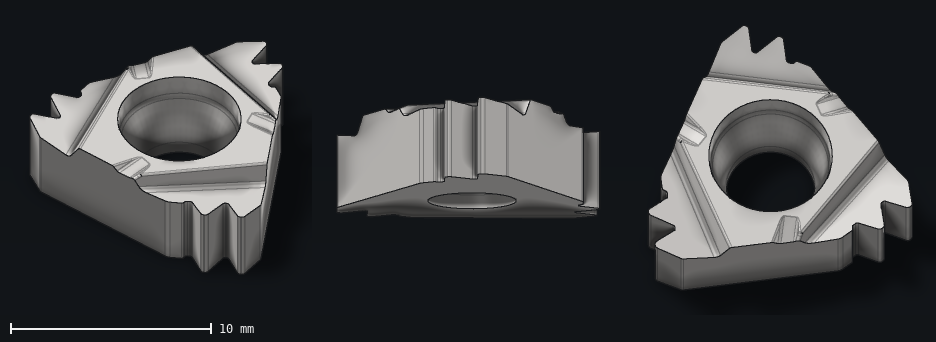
import cadquery as cq
import math


CORNERS = 3
CORNER_STEP = 360 / CORNERS
HEIGHT = 4.3
INSCRIBED_RADIUS = 4.75
OVERSIZE = 15.72

FLANK_SLOPE = math.tan(math.radians(60))
TIP_A_X = -3.9
TIP_A_Y = 6.58
TIP_B_X = -2.07
TIP_B_Y = 6.67
STEP_START_X = -0.88
STEP_Y = 5.55
TIP_TRUNCATION = 0.24
TIP_RADIUS = 0.2
ROOT_A_TRUNCATION = 0.18
ROOT_B_TRUNCATION = 0.26
ROOT_RADIUS = 0.15
SIDE_START_RADIUS = 0.24
STEP_START_RADIUS = 0.12
STEP_END_RADIUS = 0.52

RAKE_ANGLE = 10
RAKE_Y = 6.39
RAKE_Z = 3.9
WALL_ANGLE = 58
WALL_TURN = 15
WALL_DISTANCE = 3.81
WALL_ROOT_RADIUS = 0.31
WALL_TOP_RADIUS = 0.16

NOTCH_END_X = -3.46
NOTCH_END_Y = -0.54
NOTCH_TURN = 15
NOTCH_FALL = 10
NOTCH_FLOOR_WIDTH = 0.79
NOTCH_WALL_ANGLE = 40
NOTCH_TOOL_HEIGHT = 1.05
NOTCH_TOOL_REACH = 3.28
NOTCH_ROOT_RADIUS = 0.24
NOTCH_RIM_RADIUS = 0.16

HOLE_RADIUS = 4.4 / 2
RIM_RADIUS = 3.08
COLLAR_RADIUS = 2.99
COLLAR_DEPTH = 1.01
SEAT_TOP_RADIUS = 2.9
SEAT_TOP_DEPTH = 1.28
SEAT_BOTTOM_DEPTH = 3.6


def turned(point, angle):
    """Turn an XY point about the Z axis."""
    x, y = point
    c = math.cos(math.radians(angle))
    s = math.sin(math.radians(angle))
    return (x * c - y * s, x * s + y * c)


def root_between(left, right):
    """Sharp root where the falling flank of left meets the rising flank of right."""
    x = (left[0] + right[0]) / 2 + (left[1] - right[1]) / (2 * FLANK_SLOPE)
    return (x, left[1] - FLANK_SLOPE * (x - left[0]))


def flat_ends(apex, rise):
    """Left and right end of the flat that cuts off a sharp tip (rise < 0) or root (rise > 0)."""
    x, y = apex
    half_width = abs(rise) / FLANK_SLOPE
    return (x - half_width, y + rise), (x + half_width, y + rise)


def corner_profile():
    """Sharp points of one corner with the radius that rounds each of them."""
    tip_a = (TIP_A_X, TIP_A_Y)
    tip_b = (TIP_B_X, TIP_B_Y)
    step_start = (STEP_START_X, STEP_Y)
    side_start = (-INSCRIBED_RADIUS, TIP_A_Y - FLANK_SLOPE * (TIP_A_X + INSCRIBED_RADIUS))
    lean = math.radians(30)
    step_end = ((INSCRIBED_RADIUS - STEP_Y * math.cos(lean)) / math.sin(lean), STEP_Y)
    profile = [(side_start, SIDE_START_RADIUS)]
    for tip, next_point, root_truncation in (
        (tip_a, tip_b, ROOT_A_TRUNCATION),
        (tip_b, step_start, ROOT_B_TRUNCATION),
    ):
        root = root_between(tip, next_point)
        profile += [(end, TIP_RADIUS) for end in flat_ends(tip, -TIP_TRUNCATION)]
        profile += [(end, ROOT_RADIUS) for end in flat_ends(root, root_truncation)]
    return profile + [(step_start, STEP_START_RADIUS), (step_end, STEP_END_RADIUS)]


def make_body():
    """Extrude the outline and round each of its upright edges."""
    rounded_points = []
    for i in range(CORNERS):
        for point, radius in corner_profile():
            rounded_points.append((turned(point, -i * CORNER_STEP), radius))
    body = cq.Workplane("XY").polyline([p for p, _ in rounded_points]).close().extrude(HEIGHT)
    for (x, y), radius in rounded_points:
        edge = cq.selectors.NearestToPointSelector((x, y, HEIGHT / 2))
        body = body.edges("|Z").edges(edge).fillet(radius)
    return body


def make_rake_tool():
    """Space above the rake face and outside the wall of the +Y corner."""
    block = cq.Workplane("XY").box(OVERSIZE, OVERSIZE, OVERSIZE, centered=(True, True, False))
    above_rake = block.rotate((0, 0, 0), (1, 0, 0), RAKE_ANGLE).translate((0, RAKE_Y, RAKE_Z))
    outside_wall = (
        block.rotate((0, 0, 0), (1, 0, 0), -WALL_ANGLE)
        .translate((0, WALL_DISTANCE, HEIGHT))
        .rotate((0, 0, 0), (0, 0, 1), WALL_TURN)
    )
    root = (0, WALL_DISTANCE, 0)
    tool = above_rake.intersect(outside_wall)
    return tool.edges(cq.selectors.NearestToPointSelector(root)).fillet(WALL_ROOT_RADIUS)


def make_notch_tool():
    """Flaring channel whose floor falls outwards, for the long side at -X."""
    half_floor = NOTCH_FLOOR_WIDTH / 2
    half_top = half_floor + NOTCH_TOOL_HEIGHT / math.tan(math.radians(NOTCH_WALL_ANGLE))
    channel = (
        cq.Workplane("YZ")
        .moveTo(-half_floor, 0)
        .lineTo(half_floor, 0)
        .lineTo(half_top, NOTCH_TOOL_HEIGHT)
        .lineTo(-half_top, NOTCH_TOOL_HEIGHT)
        .close()
        .extrude(NOTCH_TOOL_REACH, both=True)
        .edges("|X and <Z")
        .fillet(NOTCH_ROOT_RADIUS)
    )
    return (
        channel.rotate((0, 0, 0), (0, 1, 0), -NOTCH_FALL)
        .rotate((0, 0, 0), (0, 0, 1), -NOTCH_TURN)
        .translate((NOTCH_END_X, NOTCH_END_Y, HEIGHT))
    )


def make_hole_tool():
    """Tapered collar, blended into a bell-shaped seat and the plain hole."""
    collar_z = HEIGHT - COLLAR_DEPTH
    seat_top_z = HEIGHT - SEAT_TOP_DEPTH
    seat_bottom_z = HEIGHT - SEAT_BOTTOM_DEPTH
    rise = seat_top_z - seat_bottom_z
    spread = SEAT_TOP_RADIUS - HOLE_RADIUS
    seat_radius = (rise ** 2 + spread ** 2) / (2 * spread)
    half_sweep = math.asin(rise / seat_radius) / 2
    seat_middle = (
        HOLE_RADIUS + seat_radius * (1 - math.cos(half_sweep)),
        seat_bottom_z + seat_radius * math.sin(half_sweep),
    )
    return (
        cq.Workplane("XZ")
        .moveTo(0, HEIGHT)
        .lineTo(RIM_RADIUS, HEIGHT)
        .lineTo(COLLAR_RADIUS, collar_z)
        .tangentArcPoint((SEAT_TOP_RADIUS, seat_top_z), relative=False)
        .threePointArc(seat_middle, (HOLE_RADIUS, seat_bottom_z))
        .lineTo(HOLE_RADIUS, 0)
        .lineTo(0, 0)
        .close()
        .revolve(360, (0, 0, 0), (0, 1, 0))
    )


def cut_at_corners(body, tool):
    """Cut the tool once per corner."""
    for i in range(CORNERS):
        body = body.cut(tool.rotate((0, 0, 0), (0, 0, 1), i * CORNER_STEP))
    return body


def round_notch_rims(body):
    """Round the rim of the notch at every corner; the rim is one smooth chain of edges."""
    for i in range(CORNERS):
        end = turned((NOTCH_END_X, NOTCH_END_Y), i * CORNER_STEP)
        edge = cq.selectors.NearestToPointSelector((*end, HEIGHT))
        body = body.faces(">Z").edges(edge).fillet(NOTCH_RIM_RADIUS)
    return body


def round_wall_tops(body):
    """Round the top edge of the wall at every corner."""
    for i in range(CORNERS):
        middle = turned((0, WALL_DISTANCE), WALL_TURN + i * CORNER_STEP)
        edge = cq.selectors.NearestToPointSelector((*middle, HEIGHT))
        body = body.faces(">Z").edges(edge).fillet(WALL_TOP_RADIUS)
    return body


result = cut_at_corners(make_body(), make_rake_tool())
result = round_wall_tops(result)
result = cut_at_corners(result, make_notch_tool())
result = round_notch_rims(result)
result = result.cut(make_hole_tool())